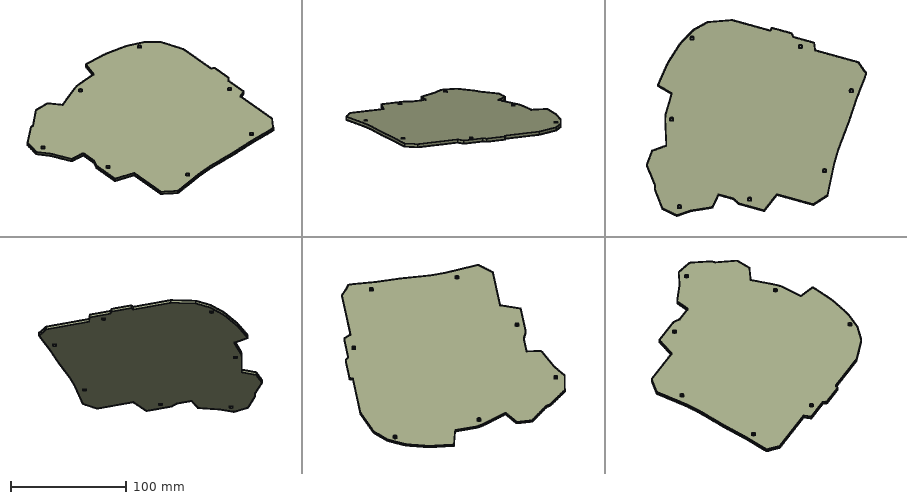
import cadquery as cq

length = 183.8
width = 171.0
thickness = 3.0
hole_diameter = 3.0

top_edge_y = 181.0
right_shoulder_y = 174.8
right_foot_y = 41.9
lower_step_y = 28.0
lower_tab_y = 25.0
left_wall_x = 13.6
right_waist_x = 166.3

lower_left_lobe = [
    (47.8, 0.0),
    (34.0, 2.5),
    (22.8, 17.6),
    (21.9, 21.3),
    (10.3, 36.2),
    (11.2, 49.6),
    (21.9, 57.5),
]
left_recess = [
    (16.4, 73.9),
    (14.3, 80.3),
    (left_wall_x, 84.0),
    (left_wall_x, 103.7),
]
upper_left_sweep = [
    (0.0, 107.3),
    (2.4, 125.9),
    (3.1, 130.0),
    (7.7, 146.3),
    (8.8, 149.5),
    (16.0, 163.2),
    (26.0, 173.3),
    (46.1, top_edge_y),
]
top_tab = [
    (80.3, top_edge_y),
    (81.2, length),
    (99.0, length),
    (101.5, top_edge_y),
]
right_shoulder = [
    (120.2, top_edge_y),
    (122.8, right_shoulder_y),
    (162.0, right_shoulder_y),
    (168.3, 169.3),
    (width, 167.6),
]
right_side = [
    (170.7, 162.6),
    (169.0, 143.3),
    (168.3, 122.0),
    (right_waist_x, 95.5),
    (right_waist_x, 82.5),
    (168.5, 53.1),
    (159.0, right_foot_y),
]
lower_edge = [
    (126.0, right_foot_y),
    (119.5, lower_tab_y),
    (96.5, lower_tab_y),
    (90.8, lower_step_y),
    (77.4, lower_step_y),
    (75.5, 15.8),
    (73.7, 14.7),
    (58.0, 7.4),
]

hole_centres = [
    (109.5, 174.5),
    (17.0, 156.0),
    (162.8, 148.7),
    (19.8, 81.5),
    (160.0, 73.5),
    (104.5, 31.2),
    (47.8, 8.0),
]


def make_plate():
    """Extrude the closed outline to the plate thickness."""
    outline = (
        lower_left_lobe
        + left_recess
        + upper_left_sweep
        + top_tab
        + right_shoulder
        + right_side
        + lower_edge
    )
    return cq.Workplane("XY").polyline(outline).close().extrude(thickness)


def make_hole_pins():
    """Cylinders that cut the holes through the full thickness."""
    return cq.Workplane("XY").pushPoints(hole_centres).circle(hole_diameter / 2).extrude(thickness)


result = make_plate().cut(make_hole_pins())